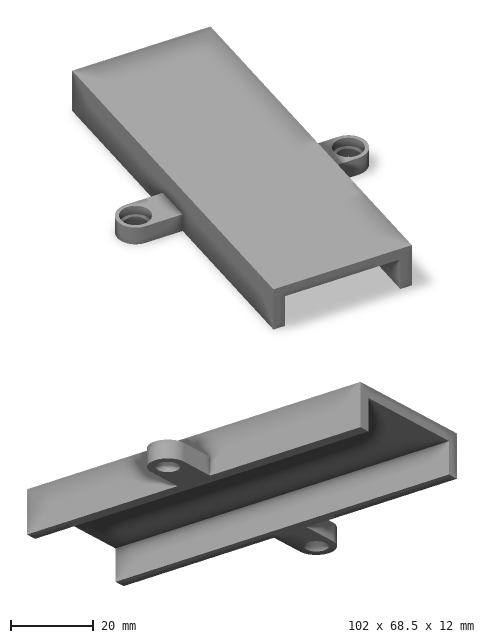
import cadquery as cq

cover_length = 102.0
cover_width = 38.0
cover_height = 12.0
wall = 3.2

overall_width = 68.5
eye_diameter = 10.0
eye_height = 5.0
screw_hole_diameter = 6.0
head_recess_diameter = 8.0
head_recess_depth = eye_height / 2
eye_offset = (overall_width - eye_diameter) / 2
sides = (-1, 1)


def make_arm(side):
    """Straight arm from the cover's outer wall to the eye centre line, hollowed to seat the eye."""
    arm_length = eye_offset - cover_width / 2
    arm_middle = side * (eye_offset + cover_width / 2) / 2
    arm = (
        cq.Workplane("XY")
        .center(0, arm_middle)
        .rect(eye_diameter, arm_length)
        .extrude(eye_height)
    )
    seat = (
        cq.Workplane("XY")
        .center(0, side * eye_offset)
        .circle(eye_diameter / 2)
        .extrude(eye_height)
    )
    return arm.cut(seat)


def make_cover():
    """Channel-shaped cover with one arm on each long side."""
    outside = cq.Workplane("XY").box(
        cover_length, cover_width, cover_height, centered=(True, True, False)
    )
    channel = cq.Workplane("XY").box(
        cover_length, cover_width - 2 * wall, cover_height - wall, centered=(True, True, False)
    )
    body = outside.cut(channel)
    for side in sides:
        body = body.union(make_arm(side))
    return body


def make_eye(side):
    """Round eye with a screw hole and a wider recess for the screw head."""
    return (
        cq.Workplane("XY")
        .center(0, side * eye_offset)
        .circle(eye_diameter / 2)
        .extrude(eye_height)
        .faces(">Z")
        .workplane(origin=(0, side * eye_offset, eye_height))
        .cboreHole(screw_hole_diameter, head_recess_diameter, head_recess_depth)
    )


cover = make_cover()
eyes = [make_eye(side) for side in sides]

result = cq.Compound.makeCompound([cover.solids().val(), *[eye.val() for eye in eyes]])